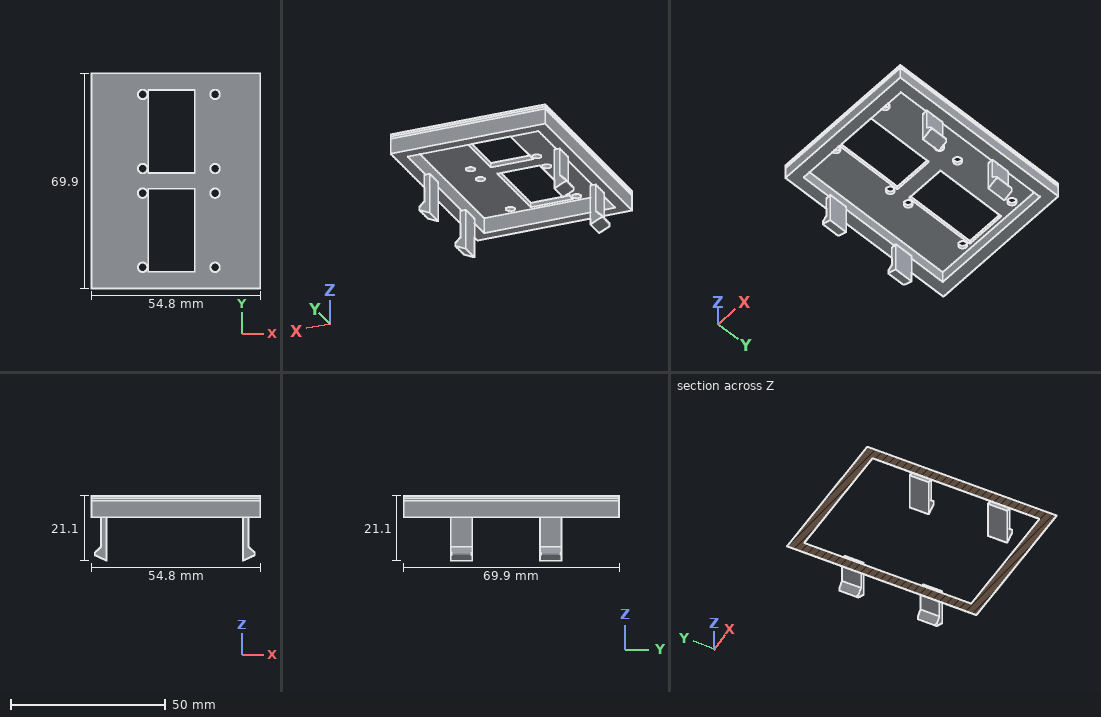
import cadquery as cq

PANEL_X = 54.8
PANEL_Y = 69.9
PANEL_T = 1.6
LIP_T = PANEL_T / 2

BORDER = 4.2
FRAME_BOTTOM = -7.0

WINDOW_X = 14.95
WINDOW_Y = 26.85
WINDOW_CENTER_X = -1.4
WINDOW_CENTER_Y = 16.0
HOLE_D = 3.0
HOLE_SPACING_X = 23.5
HOLE_SPACING_Y = 24.05
HOLE_CENTER_X = 1.0

CLIP_BOTTOM = -21.05
CLIP_WIDTH = 7.05
CLIP_T = 1.9
CLIP_CENTER_X = -0.35
CLIP_INNER_X = 22.1
CLIP_CENTERS_Y = (12.8, -16.15)
BARB_REACH = 2.0
BARB_TOP = -16.5
BARB_TIP_TOP = -18.45
BARB_TIP_BOTTOM = -19.2
BARB_TIP_ROUND = 0.5


def make_panel():
    """Stepped panel with both windows and all eight holes through it."""
    windows = [(WINDOW_CENTER_X, side * WINDOW_CENTER_Y) for side in (-1, 1)]
    holes = [
        (HOLE_CENTER_X + i * HOLE_SPACING_X / 2, side * WINDOW_CENTER_Y + j * HOLE_SPACING_Y / 2)
        for side in (-1, 1)
        for i in (-1, 1)
        for j in (-1, 1)
    ]
    top = cq.Workplane("XY")
    lip = top.rect(PANEL_X, PANEL_Y).extrude(-LIP_T)
    middle = top.rect(PANEL_X - 2 * BORDER, PANEL_Y - 2 * BORDER).extrude(-PANEL_T)
    window_cut = top.pushPoints(windows).rect(WINDOW_X, WINDOW_Y).extrude(-PANEL_T)
    hole_cut = top.pushPoints(holes).circle(HOLE_D / 2).extrude(-PANEL_T)
    return lip.union(middle).cut(window_cut).cut(hole_cut)


def make_border(top, bottom):
    """Rectangular border, open in the middle, with the outline of the panel."""
    return (
        cq.Workplane("XY")
        .workplane(offset=top)
        .rect(PANEL_X, PANEL_Y)
        .rect(PANEL_X - 2 * BORDER, PANEL_Y - 2 * BORDER)
        .extrude(bottom - top)
    )


def make_clip(side, center_y):
    """Snap clip under the +X (side = 1) or -X (side = -1) border, barb pointing outward."""
    inner = CLIP_INNER_X
    outer = inner + CLIP_T
    tip = outer + BARB_REACH
    profile = [
        (inner, FRAME_BOTTOM),
        (outer, FRAME_BOTTOM),
        (outer, BARB_TOP),
        (tip, BARB_TIP_TOP),
        (tip, BARB_TIP_BOTTOM),
        (inner, CLIP_BOTTOM),
    ]
    clip = (
        cq.Workplane("XZ")
        .polyline([(CLIP_CENTER_X + side * x, z) for x, z in profile])
        .close()
        .extrude(CLIP_WIDTH / 2, both=True)
    )
    tip_face = ">X" if side > 0 else "<X"
    return clip.faces(tip_face).edges().fillet(BARB_TIP_ROUND).translate((0, center_y, 0))


panel = make_panel()
spacer_ring = make_border(-LIP_T, -PANEL_T)
frame = make_border(-PANEL_T, FRAME_BOTTOM)
clips = [make_clip(side, y) for side in (-1, 1) for y in CLIP_CENTERS_Y]

result = cq.Compound.makeCompound(
    [panel.val(), spacer_ring.val(), frame.val(), *[clip.val() for clip in clips]]
)